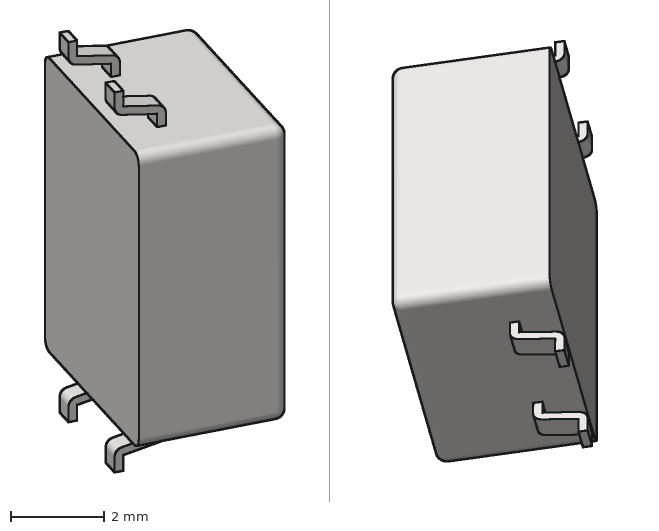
import cadquery as cq
import math

body_width = 5.2
body_depth = 3.49
body_height = 7.12
edge_radius = 0.25

overall_height = 9.2
standoff = 0.11
lead_pitch = 2.55
lead_width = 0.5
lead_thickness = 0.2
foot_length = 0.38
shoulder_depth = 0.99
slope_angle = 10.0
embed_length = 0.09


def make_body():
    block = cq.Workplane("XY").box(body_width, body_depth, body_height)
    block = block.edges("|Y").fillet(edge_radius)
    block = block.faces(">Y").edges().fillet(edge_radius)
    return block.translate((0, standoff + body_depth / 2, 0))


def make_top_lead(center_x):
    """Gull-wing lead with sharp inner corners and outer bends concentric with them."""
    slope = math.radians(slope_angle)
    tip_z = overall_height / 2
    root_z = body_height / 2 - embed_length

    foot_y = lead_thickness
    foot_z = tip_z - foot_length
    run = shoulder_depth - foot_y
    shoulder_z = foot_z - run * math.tan(slope) - lead_thickness / math.cos(slope)

    def foot_arc(angle):
        return (foot_y - lead_thickness * math.cos(angle), foot_z - lead_thickness * math.sin(angle))

    def shoulder_arc(angle):
        return (
            shoulder_depth + lead_thickness * math.cos(angle),
            shoulder_z + lead_thickness * math.sin(angle),
        )

    bend = math.pi / 2 - slope
    profile = (
        cq.Workplane("YZ", origin=(center_x, 0, 0))
        .moveTo(0, tip_z)
        .lineTo(*foot_arc(0))
        .threePointArc(foot_arc(bend / 2), foot_arc(bend))
        .lineTo(shoulder_depth, shoulder_z)
        .lineTo(shoulder_depth, root_z)
        .lineTo(shoulder_depth + lead_thickness, root_z)
        .lineTo(*shoulder_arc(0))
        .threePointArc(shoulder_arc(bend / 2), shoulder_arc(bend))
        .lineTo(foot_y, foot_z)
        .lineTo(foot_y, tip_z)
        .close()
    )
    return profile.extrude(lead_width / 2, both=True)


result = make_body()
for side in (-1, 1):
    top_lead = make_top_lead(side * lead_pitch / 2)
    bottom_lead = top_lead.mirror("XY")
    result = result.union(top_lead).union(bottom_lead)